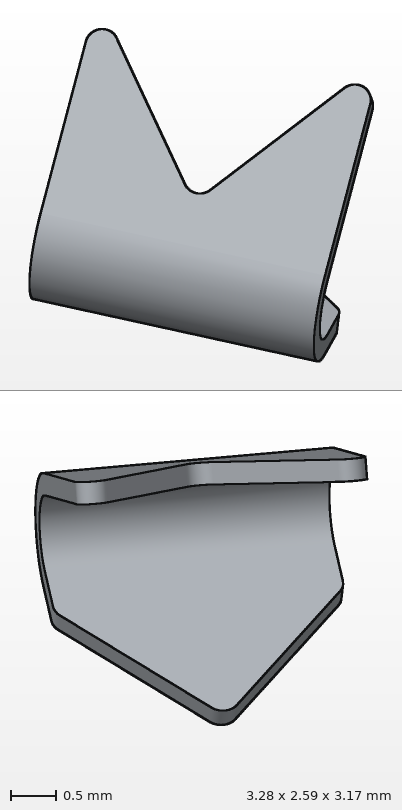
import cadquery as cq
import math

width = 3.28
thickness = 0.25
bend_radius = 0.765
depth = 2.59
arm_angle = 23.5

notch_half_angle = 38.5
point_half_angle = 43.8
notch_corner_radius = 0.185
point_corner_radius = 0.2

half_width = width / 2
inner_radius = bend_radius - thickness
sin_arm = math.sin(math.radians(arm_angle))
cos_arm = math.cos(math.radians(arm_angle))
bend_center_y = bend_radius - depth / 2
arm_length = (depth - bend_radius + inner_radius * sin_arm) / cos_arm


def upper_outline():
    """Arm with a V notch leaving two rounded prongs; the bend is at y = 0."""
    half_angle = math.radians(notch_half_angle)
    overshoot = notch_corner_radius * (1 / math.tan(half_angle / 2) - 1)
    prong_y = arm_length + overshoot
    notch_y = prong_y - half_width / math.tan(half_angle)
    return [(-half_width, 0), (half_width, 0), (half_width, prong_y), (0, notch_y), (-half_width, prong_y)]


def lower_outline():
    """Arm ending in one rounded central point; the bend is at y = 0."""
    half_angle = math.radians(point_half_angle)
    overshoot = point_corner_radius * (1 / math.sin(half_angle) - 1)
    point_y = arm_length + overshoot
    shoulder_y = point_y - half_width / math.tan(half_angle)
    return [(-half_width, 0), (half_width, 0), (half_width, shoulder_y), (0, point_y), (-half_width, shoulder_y)]


def make_arm(outline, corner_radius):
    """Flat arm, sloping up from the bend, with its end corners rounded."""
    blank = cq.Workplane("XY").polyline(outline).close().extrude(thickness)
    corners = blank.edges("|Z").edges("not <Y")
    arm = corners.fillet(corner_radius)
    arm = arm.translate((0, 0, inner_radius))
    arm = arm.rotate((0, 0, 0), (1, 0, 0), arm_angle)
    return arm.translate((0, bend_center_y, 0))


def bend_point(radius, side):
    """Point (y, z) where the bend meets the upper (side 1) or lower (side -1) arm."""
    return bend_center_y - radius * sin_arm, side * radius * cos_arm


bend = (
    cq.Workplane("YZ")
    .moveTo(*bend_point(bend_radius, 1))
    .threePointArc((bend_center_y - bend_radius, 0), bend_point(bend_radius, -1))
    .lineTo(*bend_point(inner_radius, -1))
    .threePointArc((bend_center_y - inner_radius, 0), bend_point(inner_radius, 1))
    .close()
    .extrude(half_width, both=True)
)

upper_arm = make_arm(upper_outline(), notch_corner_radius)
lower_arm = make_arm(lower_outline(), point_corner_radius).mirror("XY")

result = bend.union(upper_arm).union(lower_arm)